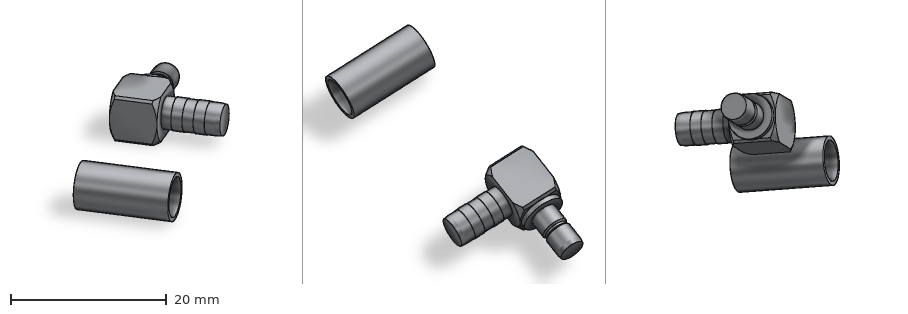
import cadquery as cq

total_length = 38.3
total_width = 14.95

block_width = 6.4
block_length = 7.78
block_chamfer = 0.35
corner_cone_depth = 0.7
corner_cone_flare = 0.95

flange_diameter = 5.98
flange_thickness = 0.7
spigot_diameter = 3.68
spigot_length = 6.35
tip_taper_length = 0.6
tip_diameter = 3.45
groove_diameter = 3.25
groove_start = 2.5
groove_side_length = 0.23
groove_floor_length = 0.35

barb_diameter = 4.33
barb_length = 7.9
barb_tip_length = 0.65
barb_tip_diameter = 4.15
ring_diameter = 4.45
ring_width = 1.5
ring_starts = [1.35, 4.33]

ferrule_diameter = block_width
ferrule_bore = 5.33
ferrule_length = 12.68


def make_block():
    """Rectangular block with chamfered edges and conically turned corners."""
    block = cq.Workplane("XY").box(block_width, block_length, block_width)
    block = block.edges("|X").chamfer(block_chamfer)

    half_width = block_width / 2
    end_radius = block_length / 2
    middle_radius = end_radius + corner_cone_flare
    shoulder = half_width - corner_cone_depth
    envelope = (
        cq.Workplane("XY")
        .moveTo(-half_width, 0)
        .lineTo(-half_width, end_radius)
        .lineTo(-shoulder, middle_radius)
        .lineTo(shoulder, middle_radius)
        .lineTo(half_width, end_radius)
        .lineTo(half_width, 0)
        .close()
        .revolve(360, (0, 0, 0), (1, 0, 0))
    )
    return block.intersect(envelope)


def make_spigot():
    """Turned flange and grooved spigot on the +Y face of the block."""
    base = block_length / 2
    seat = base + flange_thickness
    tip = seat + spigot_length
    radius = spigot_diameter / 2
    groove_radius = groove_diameter / 2
    groove_bottom = seat + groove_start
    floor_bottom = groove_bottom + groove_side_length
    floor_top = floor_bottom + groove_floor_length
    groove_top = floor_top + groove_side_length
    return (
        cq.Workplane("XY")
        .moveTo(0, base)
        .lineTo(flange_diameter / 2, base)
        .lineTo(flange_diameter / 2, seat)
        .lineTo(radius, seat)
        .lineTo(radius, groove_bottom)
        .lineTo(groove_radius, floor_bottom)
        .lineTo(groove_radius, floor_top)
        .lineTo(radius, groove_top)
        .lineTo(radius, tip - tip_taper_length)
        .lineTo(tip_diameter / 2, tip)
        .lineTo(0, tip)
        .close()
        .revolve(360, (0, 0, 0), (0, 1, 0))
    )


def make_barb():
    """Tapered stem with raised rings on the +X face of the block."""
    base = block_width / 2
    tip = base + barb_length
    barb = (
        cq.Workplane("XY")
        .moveTo(base, 0)
        .lineTo(base, barb_diameter / 2)
        .lineTo(tip - barb_tip_length, barb_diameter / 2)
        .lineTo(tip, barb_tip_diameter / 2)
        .lineTo(tip, 0)
        .close()
        .revolve(360, (0, 0, 0), (1, 0, 0))
    )
    for start in ring_starts:
        ring = cq.Workplane("YZ", origin=(base + start, 0, 0)).circle(ring_diameter / 2).extrude(ring_width)
        barb = barb.union(ring)
    return barb


def make_connector():
    return make_block().union(make_spigot()).union(make_barb())


def make_ferrule():
    """Plain open tube lying parallel to the barb."""
    start_x = total_width - block_width / 2 - ferrule_length
    spigot_tip_y = block_length / 2 + flange_thickness + spigot_length
    centre_y = spigot_tip_y - total_length + ferrule_diameter / 2
    return (
        cq.Workplane("YZ", origin=(start_x, centre_y, 0))
        .circle(ferrule_diameter / 2)
        .circle(ferrule_bore / 2)
        .extrude(ferrule_length)
    )


connector = make_connector()
ferrule = make_ferrule()
result = cq.Compound.makeCompound([*connector.solids().vals(), ferrule.val()])